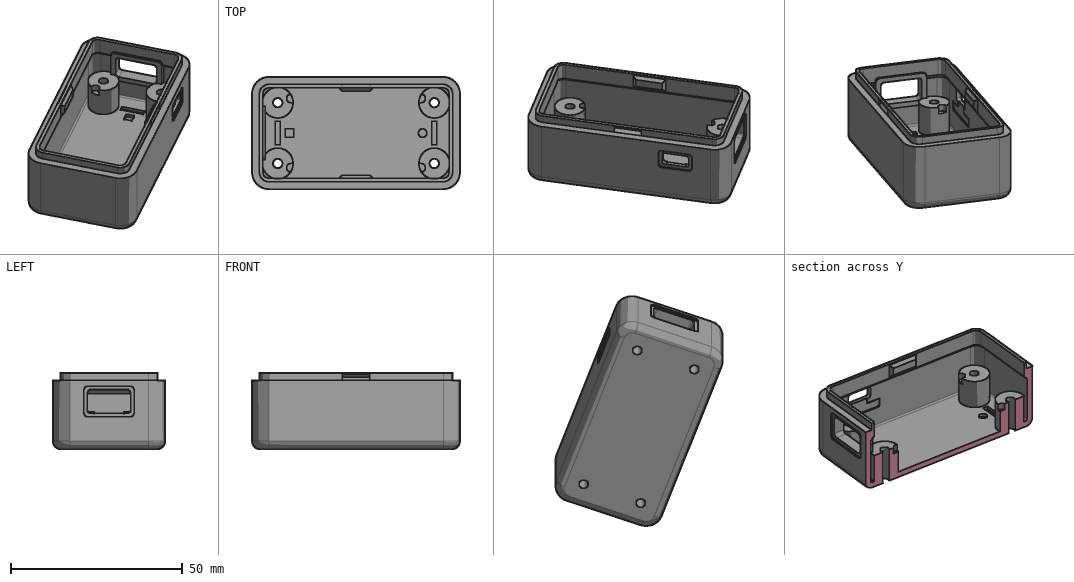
import cadquery as cq

LENGTH = 60.8
WIDTH = 32.85
HEIGHT = 22.4
LIP_HEIGHT = 2.25
BODY_HEIGHT = HEIGHT - LIP_HEIGHT
CORNER_RADIUS = 5.0
BOTTOM_FILLET = 2.5
WALL = 2.0
FLOOR = 2.0

LIP_SETBACK = 2.2
LIP_INNER_SETBACK = 3.2
BAND_BOTTOM = 17.5
BAND_OVERHANG = LIP_INNER_SETBACK - WALL

POST_X = 22.85
POST_Y = 8.9
POST_DIAMETER = 9.0
POST_TOP = 10.95
SCREW_HOLE_DIAMETER = 2.7
NOTCH_DIAMETER = 2.5
NOTCH_DEPTH = 2.0
NOTCH_X = 19.0
NOTCH_Y = POST_Y + NOTCH_DIAMETER / 2

SNAP_DEPTH = 0.9
SNAP_TOP = 22.0
SNAP_GROOVE_LENGTH = 8.15
SNAP_BUMP_LENGTH = 9.85
SNAP_BUMP_HEIGHT = 4.2

FRAME_DEPTH = 0.5
FRAME_MARGIN = 1.05
FRAME_RADIUS = 1.2

USB_WIDTH = 12.6
USB_HEIGHT = 6.95
USB_Z = 14.0
USB_RADIUS = 1.0
USB_PAD_SETBACK = 3.95
USB_PAD_WIDTH = 15.6

SIDE_X = -14.8
SIDE_WIDTH = 8.0
SIDE_BOTTOM = 12.45
SIDE_TOP = BAND_BOTTOM - BAND_OVERHANG
SIDE_RADIUS = 0.7
RELIEF_DEPTH = 0.35
RELIEF_WIDTH = 14.85
RELIEF_BOTTOM = 8.15
RELIEF_TOP = 10.9
RELIEF_RADIUS = 0.7
RELIEF_NECK_WIDTH = 5.7

POCKET_DEPTH = 1.0
SLOT_WIDTH = 1.6
SLOT_LENGTH = 6.95
MARK_X = 19.45
MARK_SIZE = 2.5


def rounded_block(setback, bottom, top):
    """Upright block that follows the body outline, moved inward by setback."""
    block = cq.Workplane("XY").workplane(offset=bottom)
    block = block.rect(LENGTH - 2 * setback, WIDTH - 2 * setback).extrude(top - bottom)
    return block.edges("|Z").fillet(CORNER_RADIUS - setback)


def box_between(x_range, y_range, z_range):
    """Box spanning the given ranges."""
    size = [high - low for low, high in (x_range, y_range, z_range)]
    corner = (x_range[0], y_range[0], z_range[0])
    return cq.Workplane("XY").box(*size, centered=False).translate(corner)


def centred(middle, size):
    """Range of the given size around a middle value."""
    return (middle - size / 2, middle + size / 2)


def shell():
    """Body with its lip, hollowed out from above."""
    body = rounded_block(0, 0, BODY_HEIGHT).faces("<Z").edges().fillet(BOTTOM_FILLET)
    body = body.union(rounded_block(LIP_SETBACK, BODY_HEIGHT, HEIGHT))
    cavity = rounded_block(WALL, FLOOR, BAND_BOTTOM)
    cavity = cavity.faces(">Z").edges().chamfer(BAND_OVERHANG)
    cavity = cavity.faces("<Z").edges().fillet(BOTTOM_FILLET - WALL)
    mouth = rounded_block(LIP_INNER_SETBACK, BAND_BOTTOM - BAND_OVERHANG, HEIGHT)
    return body.cut(cavity).cut(mouth)


def usb_pad():
    """Thickening of the -X wall around the USB window."""
    grow = (USB_PAD_WIDTH - USB_WIDTH) / 2
    pad = box_between(
        (-LENGTH / 2 + FRAME_DEPTH, -LENGTH / 2 + USB_PAD_SETBACK),
        centred(0, USB_PAD_WIDTH),
        centred(USB_Z, USB_HEIGHT + 2 * grow),
    )
    return pad.edges("|X").fillet(FRAME_RADIUS)


def usb_window():
    """Opening through the -X wall and its pad, with the outer frame."""
    x_outside = -LENGTH / 2
    opening = box_between(
        (x_outside, x_outside + USB_PAD_SETBACK),
        centred(0, USB_WIDTH),
        centred(USB_Z, USB_HEIGHT),
    )
    frame = box_between(
        (x_outside, x_outside + FRAME_DEPTH),
        centred(0, USB_WIDTH + 2 * FRAME_MARGIN),
        centred(USB_Z, USB_HEIGHT + 2 * FRAME_MARGIN),
    )
    return opening.edges("|X").fillet(USB_RADIUS).union(frame.edges("|X").fillet(FRAME_RADIUS))


def side_window():
    """Opening through the +Y wall, with the outer frame and the inner relief."""
    y_outside = WIDTH / 2
    y_inside = y_outside - WALL
    opening = box_between(
        centred(SIDE_X, SIDE_WIDTH), (y_inside, y_outside), (SIDE_BOTTOM, SIDE_TOP)
    )
    frame = box_between(
        centred(SIDE_X, SIDE_WIDTH + 2 * FRAME_MARGIN),
        (y_outside - FRAME_DEPTH, y_outside),
        (SIDE_BOTTOM - FRAME_MARGIN, SIDE_TOP + FRAME_MARGIN),
    )
    relief_y = (y_inside, y_inside + RELIEF_DEPTH)
    relief = box_between(centred(SIDE_X, RELIEF_WIDTH), relief_y, (RELIEF_BOTTOM, RELIEF_TOP))
    relief = relief.edges("|Y and <Z").fillet(RELIEF_RADIUS)
    neck = box_between(centred(SIDE_X, RELIEF_NECK_WIDTH), relief_y, (RELIEF_BOTTOM, SIDE_TOP))
    window = opening.edges("|Y").fillet(SIDE_RADIUS)
    return window.union(frame.edges("|Y").fillet(FRAME_RADIUS)).union(relief).union(neck)


def snap_bump():
    """Catch on the inner face of the +Y lip wall, sloped at 45 degrees on all four sides."""
    middle = (0, WIDTH / 2 - LIP_INNER_SETBACK, SNAP_TOP - SNAP_BUMP_HEIGHT / 2)
    bump = cq.Workplane("XZ", origin=middle)
    return bump.rect(SNAP_BUMP_LENGTH, SNAP_BUMP_HEIGHT).extrude(SNAP_DEPTH, taper=45)


def snap_groove():
    """V-groove in the outer face of the +Y lip wall."""
    y_face = WIDTH / 2 - LIP_SETBACK
    profile = cq.Workplane("YZ", origin=(-SNAP_GROOVE_LENGTH / 2, 0, 0)).polyline([
        (y_face, SNAP_TOP),
        (y_face - SNAP_DEPTH, (SNAP_TOP + BODY_HEIGHT) / 2),
        (y_face, BODY_HEIGHT),
    ])
    return profile.close().extrude(SNAP_GROOVE_LENGTH)


def post():
    """Screw post in the +X +Y corner."""
    column = cq.Workplane("XY", origin=(POST_X, POST_Y, FLOOR / 2))
    column = column.circle(POST_DIAMETER / 2).extrude(POST_TOP - FLOOR / 2)
    notch = cq.Workplane("XY", origin=(NOTCH_X, NOTCH_Y, POST_TOP - NOTCH_DEPTH))
    round_end = notch.circle(NOTCH_DIAMETER / 2).extrude(NOTCH_DEPTH)
    open_end = notch.center(-NOTCH_DIAMETER / 2, 0).rect(NOTCH_DIAMETER, NOTCH_DIAMETER).extrude(NOTCH_DEPTH)
    return column.cut(round_end).cut(open_end)


def floor_pockets():
    """Slots between the posts, with a square mark at -X and a round one at +X."""
    floor = cq.Workplane("XY", origin=(0, 0, FLOOR - POCKET_DEPTH))
    slots = floor.pushPoints([(-POST_X, 0), (POST_X, 0)]).rect(SLOT_WIDTH, SLOT_LENGTH).extrude(POCKET_DEPTH)
    square = floor.center(-MARK_X, 0).rect(MARK_SIZE, MARK_SIZE).extrude(POCKET_DEPTH)
    disc = floor.center(MARK_X, 0).circle(MARK_SIZE / 2).extrude(POCKET_DEPTH)
    return slots.union(square).union(disc)


def both_sides(feature):
    """Feature together with its mirror image across the XZ plane."""
    return feature.union(feature.mirror("XZ"))


def screw_holes():
    """Holes through all four posts and the floor."""
    centres = cq.Workplane("XY").rect(2 * POST_X, 2 * POST_Y, forConstruction=True).vertices()
    return centres.circle(SCREW_HOLE_DIAMETER / 2).extrude(POST_TOP)


right_posts = both_sides(post())

result = shell().union(right_posts).union(right_posts.mirror("YZ"))
result = result.union(usb_pad()).union(both_sides(snap_bump()))
result = result.cut(both_sides(snap_groove())).cut(usb_window()).cut(side_window())
result = result.cut(floor_pockets()).cut(screw_holes())